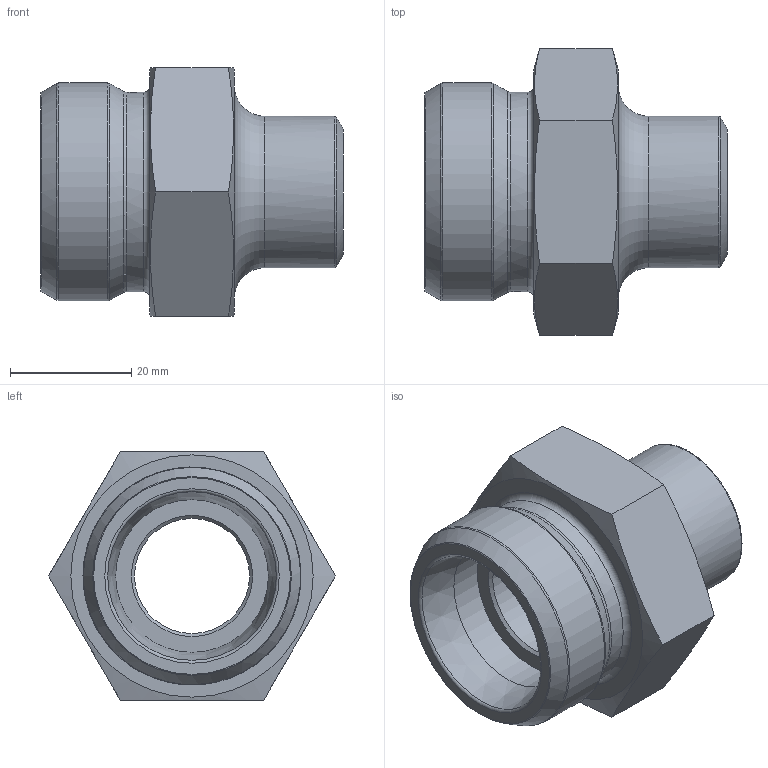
import cadquery as cq
import math

total_length = 50.0
hex_start = 18.0
hex_length = 14.0
hex_end = hex_start + hex_length

hex_across_flats = 41.0
hex_chamfer_angle = math.radians(15)
hex_face_diameter = 40.0

spigot_radius = 36.0 / 2
spigot_chamfer_length = 2.85
spigot_chamfer_angle = math.radians(30)
spigot_end = 11.25
groove_radius = 32.9 / 2
groove_flank_angle = math.radians(30)
groove_root_fillet = 1.0
groove_flank_fillet = 1.2
spigot_edge_fillet = 0.6
spigot_face_fillet = 0.2

nipple_radius = 25.0 / 2
nipple_root_fillet = 5.0
nipple_chamfer_length = 1.25
nipple_chamfer_angle = math.radians(60)
nipple_edge_fillet = 0.3

mouth_radius = 28.0 / 2
mouth_fillet = 0.5
cone_half_angle = math.radians(12)
counterbore_radius = 25.22 / 2
counterbore_depth = 12.0
through_radius = 19.0 / 2
through_chamfer = 0.5

edge_tolerance = 0.01


def revolve_about_x(points):
    """Revolve a closed (x, radius) outline about the X axis."""
    return cq.Workplane("XY").polyline(points).close().revolve(360, (0, 0, 0), (1, 0, 0))


def fillet_circle(body, x, radius, fillet_radius):
    """Round the circular edge of the given radius at station x."""
    box = cq.selectors.BoxSelector(
        (x - edge_tolerance, -radius - edge_tolerance, -radius - edge_tolerance),
        (x + edge_tolerance, radius + edge_tolerance, radius + edge_tolerance),
        boundingbox=True,
    )
    circles = body.edges("%CIRCLE").edges(box)
    matching = circles.filter(lambda edge: abs(edge.radius() - radius) < edge_tolerance)
    return body.newObject(matching.vals()).fillet(fillet_radius)


def make_hexagon():
    """Hexagon with two flats facing +Z and -Z and its corners chamfered on both faces."""
    corner_radius = hex_across_flats / 2 / math.cos(math.pi / 6)
    prism = (
        cq.Workplane("YZ")
        .workplane(offset=hex_start)
        .polygon(6, 2 * corner_radius)
        .extrude(hex_length)
    )
    face_radius = hex_face_diameter / 2
    chamfer_length = (corner_radius - face_radius) * math.tan(hex_chamfer_angle)
    envelope = revolve_about_x([
        (hex_start, 0),
        (hex_start, face_radius),
        (hex_start + chamfer_length, corner_radius),
        (hex_end - chamfer_length, corner_radius),
        (hex_end, face_radius),
        (hex_end, 0),
    ])
    return prism.intersect(envelope)


def make_spigot():
    """Large spigot: lead-in chamfer, cylinder, sloped flank and relief groove."""
    face_radius = spigot_radius - spigot_chamfer_length * math.tan(spigot_chamfer_angle)
    flank_length = (spigot_radius - groove_radius) / math.tan(groove_flank_angle)
    groove_start = spigot_end + flank_length
    body = revolve_about_x([
        (0, 0),
        (0, face_radius),
        (spigot_chamfer_length, spigot_radius),
        (spigot_end, spigot_radius),
        (groove_start, groove_radius),
        (hex_start, groove_radius),
        (hex_start, 0),
    ])
    body = fillet_circle(body, 0, face_radius, spigot_face_fillet)
    body = fillet_circle(body, spigot_chamfer_length, spigot_radius, spigot_edge_fillet)
    body = fillet_circle(body, spigot_end, spigot_radius, spigot_edge_fillet)
    return fillet_circle(body, groove_start, groove_radius, groove_flank_fillet)


def make_nipple():
    """Small spigot with a steep end chamfer."""
    chamfer_start = total_length - nipple_chamfer_length
    end_radius = nipple_radius - nipple_chamfer_length * math.tan(nipple_chamfer_angle)
    body = revolve_about_x([
        (hex_end, 0),
        (hex_end, nipple_radius),
        (chamfer_start, nipple_radius),
        (total_length, end_radius),
        (total_length, 0),
    ])
    return fillet_circle(body, chamfer_start, nipple_radius, nipple_edge_fillet)


def make_bore():
    """Stepped bore along the whole part."""
    cone_length = (mouth_radius - counterbore_radius) / math.tan(cone_half_angle)
    return revolve_about_x([
        (0, 0),
        (0, mouth_radius),
        (cone_length, counterbore_radius),
        (counterbore_depth, counterbore_radius),
        (counterbore_depth, through_radius + through_chamfer),
        (counterbore_depth + through_chamfer, through_radius),
        (total_length, through_radius),
        (total_length, 0),
    ])


body = make_hexagon().union(make_spigot()).union(make_nipple())
body = fillet_circle(body, hex_start, groove_radius, groove_root_fillet)
body = fillet_circle(body, hex_end, nipple_radius, nipple_root_fillet)
body = body.cut(make_bore())
result = fillet_circle(body, 0, mouth_radius, mouth_fillet)